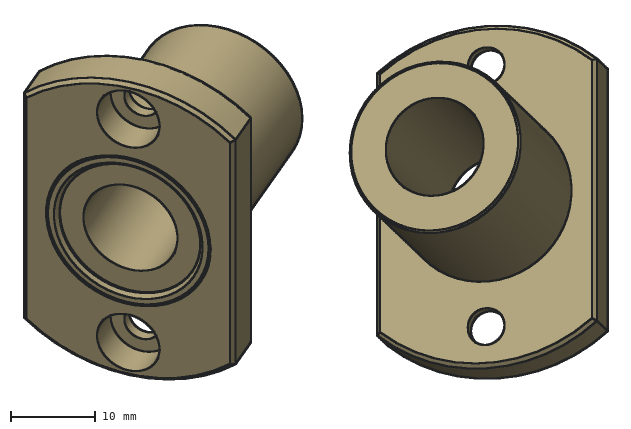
import cadquery as cq

flange_diameter = 42.0
flange_width = 27.0
flange_thickness = 6.0
flange_chamfer = 0.5

sleeve_diameter = 21.0
sleeve_length = 30.0
sleeve_chamfer = 0.25
bore_diameter = 12.0

recess_mouth_diameter = 19.0
recess_floor_diameter = 17.98
recess_cone_depth = 0.5
recess_depth = 0.7

hole_spacing = 32.0
hole_diameter = 4.5
counterbore_diameter = 8.0
counterbore_depth = 4.4


def cylinder(diameter, length, z=0):
    """Cylinder along +Y from the front face, centred at height z."""
    return cq.Workplane("XZ").center(0, z).circle(diameter / 2).extrude(-length)


def make_flange():
    disc = cylinder(flange_diameter, flange_thickness)
    trim = cq.Workplane("XZ").rect(flange_width, flange_diameter).extrude(-flange_thickness)
    flange = disc.intersect(trim).faces("<Y or >Y").chamfer(flange_chamfer)
    for z in (-hole_spacing / 2, hole_spacing / 2):
        flange = flange.cut(cylinder(hole_diameter, flange_thickness, z))
        flange = flange.cut(cylinder(counterbore_diameter, counterbore_depth, z))
    return flange.cut(cylinder(sleeve_diameter, flange_thickness))


def make_sleeve():
    """Revolved half-section; its front chamfer leaves a fine groove inside the flange."""
    bore_radius = bore_diameter / 2
    outer_radius = sleeve_diameter / 2
    return (
        cq.Workplane("XY")
        .moveTo(bore_radius, recess_depth)
        .lineTo(recess_floor_diameter / 2, recess_depth)
        .lineTo(recess_floor_diameter / 2, recess_cone_depth)
        .lineTo(recess_mouth_diameter / 2, 0)
        .lineTo(outer_radius - sleeve_chamfer, 0)
        .lineTo(outer_radius, sleeve_chamfer)
        .lineTo(outer_radius, sleeve_length - sleeve_chamfer)
        .lineTo(outer_radius - sleeve_chamfer, sleeve_length)
        .lineTo(bore_radius, sleeve_length)
        .close()
        .revolve(360, (0, 0, 0), (0, 1, 0))
    )


result = make_flange().union(make_sleeve())